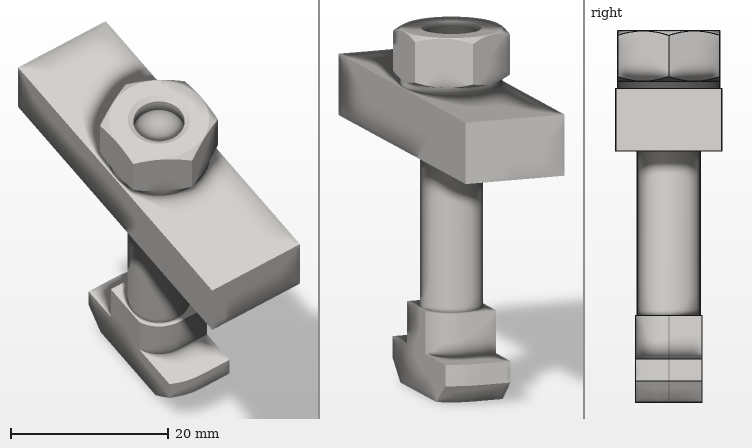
import cadquery as cq
import math

total_height = 47.3

bolt_half_thickness = 4.25
head_radius = 9.65
head_height = 5.5
head_chamfer = 2.7
neck_radius = 4.65
neck_top = 11.05

shank_diameter = 8.05
bolt_end_depth = 1.95
bolt_end_radius = 3.1

plate_length = 44
plate_width = 13.5
plate_thickness = 8.0
plate_top = 39.9

nut_across_flats = 13.0
collar_height = 0.9
nut_top_radius = 6.4
nut_chamfer_slope = math.tan(math.radians(30))
bore_radius = 3.25
countersink_radius = 3.95

nut_bottom = plate_top + collar_height
nut_corner_radius = nut_across_flats / math.sqrt(3)
collar_radius = nut_across_flats / 2


def revolve_profile(points):
    """Revolve a closed (radius, height) outline around the Z axis."""
    outline = cq.Workplane("XZ").polyline(points).close()
    return outline.revolve(360, (0, 0, 0), (0, 1, 0))


def half_rounded_block(radius, bottom, top):
    """Block with two diagonally opposite corners rounded about the Z axis."""
    angle = math.asin(bolt_half_thickness / radius)
    arc_end = radius * math.cos(angle)
    mid_x = radius * math.cos(angle / 2)
    mid_y = radius * math.sin(angle / 2)
    return (
        cq.Workplane("XY")
        .workplane(offset=bottom)
        .moveTo(-radius, -bolt_half_thickness)
        .lineTo(arc_end, -bolt_half_thickness)
        .threePointArc((mid_x, -mid_y), (radius, 0))
        .lineTo(radius, bolt_half_thickness)
        .lineTo(-arc_end, bolt_half_thickness)
        .threePointArc((-mid_x, mid_y), (-radius, 0))
        .close()
        .extrude(top - bottom)
    )


def make_head():
    """T-head whose ends taper at 45 degrees: flat on one half, conical on the other."""
    foot_radius = head_radius - head_chamfer
    cone = revolve_profile([
        (0, 0), (foot_radius, 0), (head_radius, head_chamfer),
        (head_radius, head_height), (0, head_height),
    ])
    wedge = (
        cq.Workplane("XZ")
        .polyline([
            (-foot_radius, 0), (foot_radius, 0),
            (head_radius, head_chamfer), (head_radius, head_height),
            (-head_radius, head_height), (-head_radius, head_chamfer),
        ])
        .close()
        .extrude(bolt_half_thickness, both=True)
    )
    corner = cq.Workplane("XY").box(
        head_radius, bolt_half_thickness, head_height, centered=False
    )
    opposite_corner = corner.rotate((0, 0, 0), (0, 0, 1), 180)
    square_corners = wedge.intersect(corner.union(opposite_corner))
    rounded_body = cone.intersect(wedge)
    return rounded_body.union(square_corners)


def make_plate():
    return (
        cq.Workplane("XY")
        .workplane(offset=plate_top - plate_thickness)
        .rect(plate_length, plate_width)
        .extrude(plate_thickness)
    )


def make_nut():
    """Hexagon with its corners chamfered at both ends, standing on the collar."""
    hexagon = (
        cq.Workplane("XY")
        .workplane(offset=nut_bottom)
        .polygon(6, 2 * nut_corner_radius)
        .extrude(total_height - nut_bottom)
    )
    top_drop = (nut_corner_radius - nut_top_radius) * nut_chamfer_slope
    bottom_rise = (nut_corner_radius - collar_radius) * nut_chamfer_slope
    chamfer_envelope = revolve_profile([
        (0, nut_bottom), (collar_radius, nut_bottom),
        (nut_corner_radius, nut_bottom + bottom_rise),
        (nut_corner_radius, total_height - top_drop),
        (nut_top_radius, total_height), (0, total_height),
    ])
    collar = cq.Workplane("XY").workplane(offset=plate_top).circle(collar_radius).extrude(collar_height)
    return hexagon.intersect(chamfer_envelope).union(collar)


def make_bore():
    """Countersunk bore ending on the chamfered tip of the bolt."""
    bolt_end = total_height - bolt_end_depth
    tip_chamfer = bore_radius - bolt_end_radius
    countersink_depth = (countersink_radius - bore_radius) * nut_chamfer_slope
    return revolve_profile([
        (0, bolt_end), (bolt_end_radius, bolt_end),
        (bore_radius, bolt_end - tip_chamfer),
        (bore_radius, total_height - countersink_depth),
        (countersink_radius, total_height), (0, total_height),
    ])


neck = half_rounded_block(neck_radius, head_height, neck_top)
shank = (
    cq.Workplane("XY")
    .workplane(offset=head_height)
    .circle(shank_diameter / 2)
    .extrude(plate_top - head_height)
)

result = make_head().union(neck).union(shank).union(make_plate()).union(make_nut()).cut(make_bore())